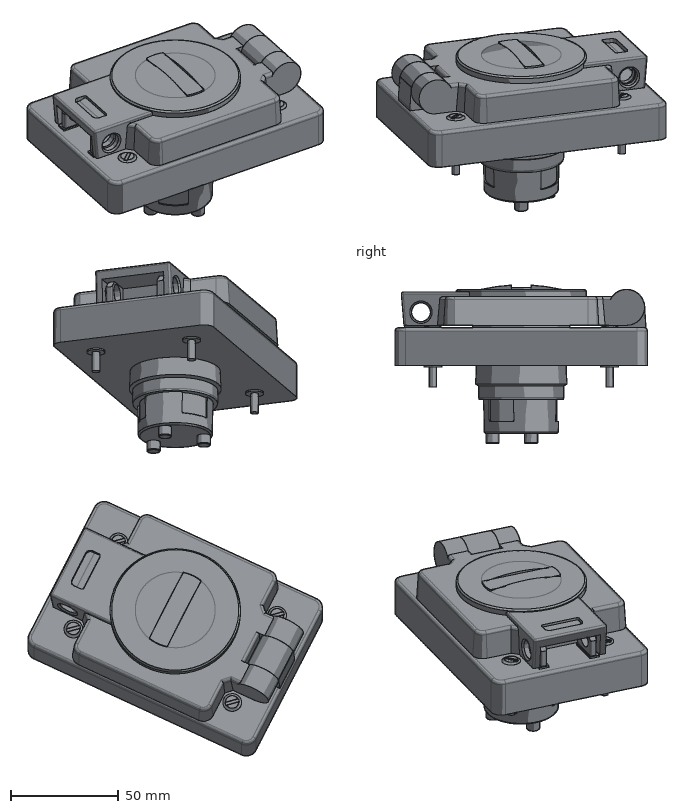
import cadquery as cq
import math

TOLERANCE = 0.01

PLATE_X = 79.38
PLATE_Y = 117.47
PLATE_TOP = 17.6
PLATE_CORNER_R = 5.0
EDGE_R = 1.6

COVER_BOTTOM = 18.7
COVER_TOP = 32.2
COVER_DRAFT = 3.5
COVER_HALF_X = 38.85
COVER_HALF_Y = 36.1
COVER_CORNER_R = 5.0
NECK_HALF_X = 18.6
NECK_SHOULDER = 2.9
NECK_END_Y = COVER_HALF_Y + NECK_SHOULDER
GASKET_D = 45.21

HINGE_D = 16.7
HINGE_Y = 49.0
HINGE_Z = COVER_BOTTOM + HINGE_D / 2
KNUCKLE_D = 16.8
KNUCKLE_HALF_X = 7.85
KNUCKLE_GAP = 0.9
KNUCKLE_BACK_Y = 58.0
KNUCKLE_BACK_RISE = 2.1

LID_D = 60.7
LID_TOP = 35.45
LID_EDGE = 0.8
DOME_D = 37.2
DOME_HEIGHT = 2.12
BAND_WIDTH = 9.3
BAND_HEIGHT = 0.85

FLAP_TOP = 34.2
FLAP_FRONT_TOP = -55.9
FLAP_FRONT_BOTTOM = -54.6
FLAP_EDGE = 0.9
OPENING_HALF_X = 15.3
OPENING_TOP = 29.65
LATCH_HOLE_Y = -46.65
LATCH_HOLE_Z = 24.8
LATCH_HOLE_D = 8.69
LATCH_HOLE_FLARE = 0.85
NOTCH_LENGTH = 19.2
NOTCH_BACK_Y = -43.2
NOTCH_FRONT_Y = -49.9
NOTCH_WALL = 1.2
NOTCH_DEPTH = 2.0
NOTCH_BACK_R = 1.0
NOTCH_FRONT_R = 2.4

LUG_INNER_X = 11.1
LUG_THICK = 3.0
LUG_EDGE_R = 0.5
LUG_FRONT_Y = -53.6
LUG_SHOULDER_Z = 26.1
FOOT_INNER_X = 10.5
FOOT_FRONT_Y = -54.4
FOOT_TOP = 18.4

SCREW_X = 23.8
SCREW_Y = 41.1
HEAD_BASE_D = 8.69
HEAD_TOP_D = 6.6
HEAD_RIM = 0.25
HEAD_HEIGHT = 0.9
DRIVE_WIDTH = 1.5
DRIVE_DEPTH = 0.5
DRIVE_ANGLE = -48
WASHER_D = 8.38
WASHER_THICK = 0.75
SHANK_D = 3.56
SHANK_END = -10.1

COLLAR_TOP_D = 42.0
COLLAR_D = 42.8
COLLAR_SHOULDER_Z = -8.6
COLLAR_END_Z = -9.5
RING_D = 39.67
RING_END_Z = -15.8
RING_LIP_HEIGHT = 0.9
RING_LIP_STEP = 0.15
PLUG_TOP_D = 35.4
PLUG_END_D = 34.6
PLUG_END_Z = -31.7
PLUG_EDGE = 0.8
WINDOW_END_Z = -26.0
WINDOW_DEPTH = 1.1
WINDOW_CORNER_R = 0.8
WINDOW_WIDTH = 14.0
WINDOW_ANGLES = (90, 215, 325)
TERMINAL_D = 6.24
TERMINAL_RADIUS = 13.35
TERMINAL_END_Z = -36.28
TERMINAL_EDGE = 0.4
TERMINAL_ANGLES = (20, 160, 270)


def box(x_min, x_max, y_min, y_max, z_min, z_max):
    size = (x_max - x_min, y_max - y_min, z_max - z_min)
    return cq.Workplane("XY").box(*size, centered=False).translate((x_min, y_min, z_min))


def cylinder(diameter, z_min, z_max, x=0):
    return (cq.Workplane("XY", origin=(x, 0, z_min))
            .circle(diameter / 2).extrude(z_max - z_min))


def side_prism(points, x_min, x_max):
    """Extrude a closed (Y, Z) outline along X."""
    return cq.Workplane("YZ", origin=(x_min, 0, 0)).polyline(points).close().extrude(x_max - x_min)


def x_cylinder(diameter, y, z, x_min, x_max):
    return cq.Workplane("YZ", origin=(x_min, y, z)).circle(diameter / 2).extrude(x_max - x_min)


def make_plate():
    """Plain wall plate with rounded corners and a rounded top rim."""
    return (cq.Workplane("XY").rect(PLATE_X, PLATE_Y).extrude(PLATE_TOP)
            .edges("|Z").fillet(PLATE_CORNER_R)
            .faces(">Z").edges().fillet(EDGE_R))


def make_shoulders():
    """Sloping sides, at both ends, that lead from the cover body into the necks."""
    reach = 2 * NECK_SHOULDER
    foot_x = NECK_HALF_X + reach
    foot_y = NECK_END_Y - reach
    upper = [(foot_x, foot_y), (NECK_HALF_X, NECK_END_Y), (-NECK_HALF_X, NECK_END_Y), (-foot_x, foot_y)]
    outline = upper + [(-x, -y) for x, y in upper]
    return (cq.Workplane("XY", origin=(0, 0, COVER_BOTTOM)).polyline(outline).close()
            .extrude(COVER_TOP - COVER_BOTTOM, taper=COVER_DRAFT))


def is_rounded_edge(edge):
    """True for the cover's top edges, except the hinge end and the knuckle gap's sides."""
    center = edge.Center()
    at_hinge = center.y > HINGE_Y - TOLERANCE
    gap_side = abs(abs(center.x) - KNUCKLE_HALF_X) < TOLERANCE
    return not at_hinge and not gap_side


def make_cover():
    """Drafted body with shoulders, a neck up to the hinge and a gap for the middle knuckle."""
    footprint = cq.Sketch().rect(2 * COVER_HALF_X, 2 * COVER_HALF_Y).vertices().fillet(COVER_CORNER_R)
    cover = (cq.Workplane("XY", origin=(0, 0, COVER_BOTTOM)).placeSketch(footprint)
             .extrude(COVER_TOP - COVER_BOTTOM, taper=COVER_DRAFT))
    cover = cover.union(make_shoulders())
    cover = cover.union(box(-NECK_HALF_X, NECK_HALF_X, 0, HINGE_Y, COVER_BOTTOM, COVER_TOP))
    gap_y = HINGE_Y - HINGE_D / 2 - KNUCKLE_GAP
    cover = cover.cut(box(-KNUCKLE_HALF_X, KNUCKLE_HALF_X, gap_y, HINGE_Y, COVER_BOTTOM, COVER_TOP))
    top_edges = cover.faces(">Z").edges().vals()
    return cover.newObject([edge for edge in top_edges if is_rounded_edge(edge)]).fillet(EDGE_R)


def make_hinge():
    """Hinge barrel with a slightly larger middle knuckle standing on the plate."""
    barrel = x_cylinder(HINGE_D, HINGE_Y, HINGE_Z, -NECK_HALF_X, NECK_HALF_X)
    knuckle = x_cylinder(KNUCKLE_D, HINGE_Y, HINGE_Z, -KNUCKLE_HALF_X, KNUCKLE_HALF_X)
    barrel_back = HINGE_Y + HINGE_D / 2
    base_front = HINGE_Y - HINGE_D / 2
    base = side_prism([(base_front, PLATE_TOP), (KNUCKLE_BACK_Y, PLATE_TOP), (KNUCKLE_BACK_Y, COVER_BOTTOM),
                       (barrel_back, HINGE_Z + KNUCKLE_BACK_RISE), (HINGE_Y, HINGE_Z), (base_front, HINGE_Z)],
                      -KNUCKLE_HALF_X, KNUCKLE_HALF_X)
    return barrel.union(knuckle).union(base)


def dome_arc_point():
    """A point halfway out on the spherical dome, as (radius, height)."""
    rim_r = DOME_D / 2
    sphere_r = (rim_r ** 2 + DOME_HEIGHT ** 2) / (2 * DOME_HEIGHT)
    mid_r = rim_r / 2
    return mid_r, math.sqrt(sphere_r ** 2 - mid_r ** 2) - sphere_r + DOME_HEIGHT


def make_lid():
    """Round lid with a dome that is crossed by a flat band."""
    lid = cylinder(LID_D, COVER_TOP, LID_TOP).faces(">Z").edges().chamfer(LID_EDGE)
    dome_r = DOME_D / 2
    dome = (cq.Workplane("XZ", origin=(0, 0, LID_TOP)).moveTo(0, 0).lineTo(dome_r, 0)
            .threePointArc(dome_arc_point(), (0, DOME_HEIGHT)).close()
            .revolve(360, (0, 0), (0, 1)))
    half_band = BAND_WIDTH / 2
    dome = dome.cut(box(-dome_r, dome_r, -half_band, half_band, LID_TOP, LID_TOP + DOME_HEIGHT))
    band = cylinder(DOME_D, LID_TOP, LID_TOP + BAND_HEIGHT).intersect(
        box(-dome_r, dome_r, -half_band, half_band, LID_TOP, LID_TOP + BAND_HEIGHT))
    return lid.union(dome).union(band)


def make_finger_notch():
    """Recess whose floor slopes down from the back wall, then runs level."""
    mid_y = (NOTCH_BACK_Y + NOTCH_FRONT_Y) / 2
    half = NOTCH_LENGTH / 2
    profile = side_prism([(NOTCH_BACK_Y, FLAP_TOP), (NOTCH_BACK_Y, FLAP_TOP - NOTCH_WALL),
                          (mid_y, FLAP_TOP - NOTCH_DEPTH), (NOTCH_FRONT_Y, FLAP_TOP - NOTCH_DEPTH),
                          (NOTCH_FRONT_Y, FLAP_TOP)], -half, half)
    profile = profile.edges("|Z").edges(">Y").fillet(NOTCH_BACK_R)
    return profile.edges("|Z").edges("<Y").fillet(NOTCH_FRONT_R)


def make_flap():
    """Hollow latch flap that reaches from the lid over the -Y neck."""
    outer = side_prism([(FLAP_FRONT_TOP, FLAP_TOP), (FLAP_FRONT_BOTTOM, COVER_BOTTOM),
                        (-COVER_HALF_Y, COVER_BOTTOM), (-COVER_HALF_Y, COVER_TOP),
                        (0, COVER_TOP), (0, FLAP_TOP)], -NECK_HALF_X, NECK_HALF_X)
    front_corners = outer.faces("<Y").edges("not |X").vals()
    top_edges = outer.faces(">Z").edges("not >Y").vals()
    outer = outer.newObject(front_corners + top_edges).fillet(FLAP_EDGE)
    opening = box(-OPENING_HALF_X, OPENING_HALF_X, FLAP_FRONT_TOP, -NECK_END_Y, COVER_BOTTOM, OPENING_TOP)
    return outer.cut(opening).cut(make_finger_notch())


def make_lug(side):
    """One latch lug with its foot on the plate; side is -1 or +1."""
    slope_run = OPENING_TOP - LUG_SHOULDER_Z
    lug_x = sorted((side * LUG_INNER_X, side * (LUG_INNER_X + LUG_THICK)))
    lug = side_prism([(LUG_FRONT_Y, PLATE_TOP), (LUG_FRONT_Y, LUG_SHOULDER_Z),
                      (LUG_FRONT_Y + slope_run, OPENING_TOP), (-NECK_END_Y, OPENING_TOP),
                      (-NECK_END_Y, PLATE_TOP)], *lug_x)
    lug = lug.faces("<Y").edges("|Z").fillet(LUG_EDGE_R)
    foot_x = sorted((side * FOOT_INNER_X, side * OPENING_HALF_X))
    return lug.union(box(*foot_x, FOOT_FRONT_Y, -NECK_END_Y, PLATE_TOP, FOOT_TOP))


def make_latch_hole():
    """Cross hole through flap and lugs, flared at both outer faces."""
    radius = LATCH_HOLE_D / 2
    hole = x_cylinder(LATCH_HOLE_D, LATCH_HOLE_Y, LATCH_HOLE_Z, -NECK_HALF_X, NECK_HALF_X)
    for side in (-1, 1):
        flare = cq.Solid.makeCone(radius + LATCH_HOLE_FLARE, radius, LATCH_HOLE_FLARE,
                                  cq.Vector(side * NECK_HALF_X, LATCH_HOLE_Y, LATCH_HOLE_Z),
                                  cq.Vector(-side, 0, 0))
        hole = hole.union(cq.Workplane(flare))
    return hole


def make_screw(x, y):
    """Slotted head above the plate, and washer with shank below it."""
    rim_r = HEAD_TOP_D / 2
    head_z = PLATE_TOP + HEAD_HEIGHT
    head = (cq.Workplane("XZ").polyline([
        (0, PLATE_TOP), (HEAD_BASE_D / 2, PLATE_TOP), (rim_r, head_z - HEAD_RIM),
        (rim_r - HEAD_RIM, head_z), (0, head_z)]).close().revolve(360, (0, 0), (0, 1)))
    drive = (box(-rim_r, rim_r, -DRIVE_WIDTH / 2, DRIVE_WIDTH / 2, head_z - DRIVE_DEPTH, head_z)
             .rotate((0, 0, 0), (0, 0, 1), DRIVE_ANGLE))
    washer = cylinder(WASHER_D, -WASHER_THICK, 0)
    shank = cylinder(SHANK_D, SHANK_END, 0)
    return head.cut(drive).translate((x, y, 0)), washer.union(shank).translate((x, y, 0))


def make_plug():
    """Turned plug body with three windows and three terminals."""
    plug = (cq.Workplane("XZ").polyline([
        (0, 0), (COLLAR_TOP_D / 2, 0), (COLLAR_D / 2, COLLAR_SHOULDER_Z), (RING_D / 2, COLLAR_END_Z),
        (RING_D / 2, RING_END_Z + RING_LIP_HEIGHT), (RING_D / 2 - RING_LIP_STEP, RING_END_Z),
        (PLUG_TOP_D / 2, RING_END_Z),
        (PLUG_END_D / 2, PLUG_END_Z + PLUG_EDGE), (PLUG_END_D / 2 - PLUG_EDGE, PLUG_END_Z),
        (0, PLUG_END_Z)]).close().revolve(360, (0, 0), (0, 1)))
    core_r = PLUG_TOP_D / 2 - WINDOW_DEPTH
    window = (box(0, RING_D, -WINDOW_WIDTH / 2, WINDOW_WIDTH / 2, WINDOW_END_Z, RING_END_Z)
              .edges("|X and <Z").fillet(WINDOW_CORNER_R)
              .cut(cylinder(2 * core_r, WINDOW_END_Z, RING_END_Z)))
    for angle in WINDOW_ANGLES:
        plug = plug.cut(window.rotate((0, 0, 0), (0, 0, 1), angle))
    terminal = cylinder(TERMINAL_D, TERMINAL_END_Z, PLUG_END_Z, TERMINAL_RADIUS)
    terminal = terminal.faces("<Z").edges().chamfer(TERMINAL_EDGE)
    for angle in TERMINAL_ANGLES:
        plug = plug.union(terminal.rotate((0, 0, 0), (0, 0, 1), angle))
    return plug


result = make_plate().union(cylinder(GASKET_D, PLATE_TOP, COVER_BOTTOM))
result = result.union(make_cover()).union(make_hinge()).union(make_lid()).union(make_flap())
for lug_side in (-1, 1):
    result = result.union(make_lug(lug_side))
result = result.cut(make_latch_hole())
for screw_x in (-SCREW_X, SCREW_X):
    for screw_y in (-SCREW_Y, SCREW_Y):
        for screw_piece in make_screw(screw_x, screw_y):
            result = result.union(screw_piece)
result = result.union(make_plug())